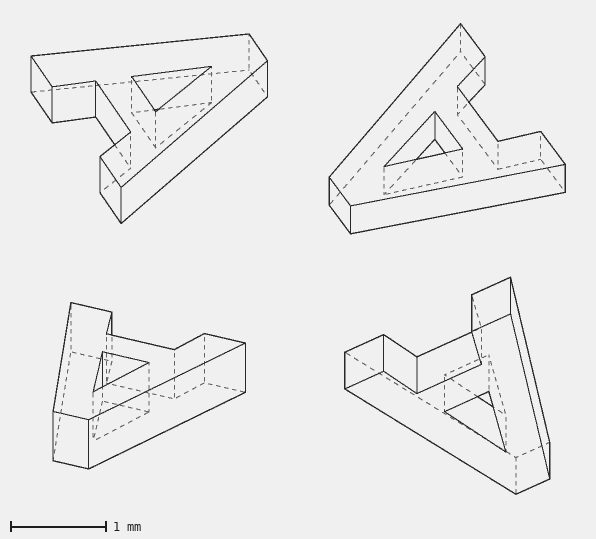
import cadquery as cq

width = 2.03
height = 2.17
thickness = 0.6

top_width = 0.415
foot_width = 0.477
crossbar_bottom_width = 0.788
crossbar_bottom_y = 0.443

opening_width = 0.54
opening_base_y = 0.805
opening_apex_y = 1.615

right_half = [
    (crossbar_bottom_width / 2, crossbar_bottom_y),
    (width / 2 - foot_width, 0),
    (width / 2, 0),
    (top_width / 2, height),
]
left_half = [(-x, y) for x, y in reversed(right_half)]

opening = [
    (-opening_width / 2, opening_base_y),
    (opening_width / 2, opening_base_y),
    (0, opening_apex_y),
]

body = cq.Workplane("XY").polyline(right_half + left_half).close().extrude(thickness)
cutter = cq.Workplane("XY").polyline(opening).close().extrude(thickness)
result = body.cut(cutter)